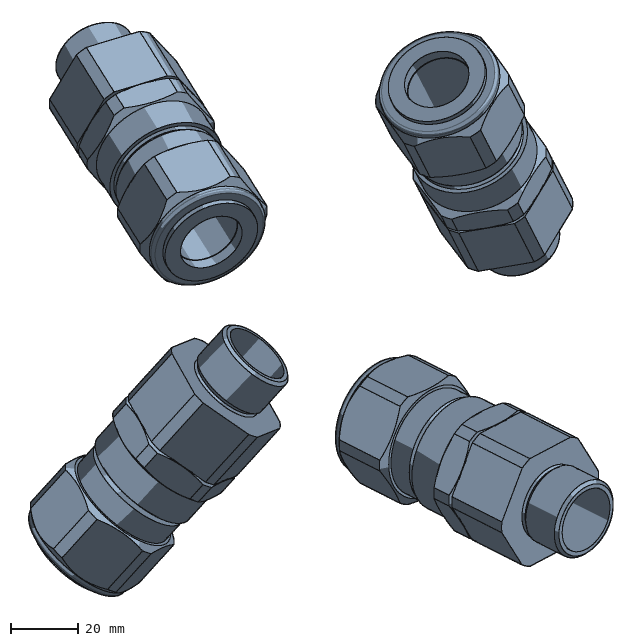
import cadquery as cq
import math


across_flats = 37.5
corner_radius = 41.3 / 2
flat_radius = across_flats / 2

total_length = 88.35
entry_hex_start = 14.9
middle_hex_start = 35.7
middle_hex_end = 44.5
body_end = 54.6
neck_groove_bottom_x = 55.4
nut_start = 64.3
nut_end = 84.6
collar_end = 86.8

thread_radius = 25.0 / 2
thread_chamfer = 1.0
relief_start = 12.9
relief_bottom_x = 14.2
relief_bottom_radius = 11.4
relief_end_radius = 12.0

body_radius = 36.5 / 2
groove_lip_radius = 17.0
groove_bottom_radius = 16.3
neck_radius = 17.2
neck_chamfer_length = 1.3

shallow_angle = 30.0
middle_front_chamfer = 1.15
nut_front_chamfer = 1.4
nut_rear_chamfer = 2.1
nut_rear_slope = 1.0

collar_radius = corner_radius - nut_rear_chamfer * nut_rear_slope
collar_round = 1.0
tail_radius = 15.0

bore_radius = 10.2
tail_bore_radius = 10.0

shallow_slope = 1 / math.tan(math.radians(shallow_angle))

middle_rear_chamfer = (corner_radius - body_radius) / shallow_slope


def turned(points):
    """Revolve a closed (x, radius) outline about the X axis."""
    return cq.Workplane("XY").polyline(points).close().revolve(360, (0, 0, 0), (1, 0, 0))


def cylinder(start, end, radius):
    return cq.Workplane("YZ", origin=(start, 0, 0)).circle(radius).extrude(end - start)


def hexagon(start, end, front_chamfer=0.0, rear_chamfer=0.0, rear_slope=shallow_slope):
    """Hexagonal section with turned corners and optional conical end chamfers."""
    across_corners = 2 * flat_radius / math.cos(math.pi / 6)
    prism = cq.Workplane("YZ", origin=(start, 0, 0)).polygon(6, across_corners).extrude(end - start)
    envelope = [(start, 0), (start, corner_radius - front_chamfer * shallow_slope)]
    if front_chamfer:
        envelope.append((start + front_chamfer, corner_radius))
    if rear_chamfer:
        envelope.append((end - rear_chamfer, corner_radius))
    envelope += [(end, corner_radius - rear_chamfer * rear_slope), (end, 0)]
    return prism.intersect(turned(envelope))


def entry_thread():
    return turned([
        (0, 0),
        (0, thread_radius - thread_chamfer),
        (thread_chamfer, thread_radius),
        (relief_start, thread_radius),
        (relief_bottom_x, relief_bottom_radius),
        (entry_hex_start, relief_end_radius),
        (entry_hex_start, 0),
    ])


def body_and_neck():
    return turned([
        (middle_hex_end, 0),
        (middle_hex_end, body_radius),
        (body_end, body_radius),
        (body_end, groove_lip_radius),
        (neck_groove_bottom_x, groove_bottom_radius),
        (neck_groove_bottom_x + neck_chamfer_length, neck_radius),
        (nut_start, neck_radius),
        (nut_start, 0),
    ])


def rear_collar():
    return cylinder(nut_end, collar_end, collar_radius).faces(">X").edges().fillet(collar_round)


solid = (
    entry_thread()
    .union(hexagon(entry_hex_start, middle_hex_start))
    .union(hexagon(middle_hex_start, middle_hex_end, middle_front_chamfer, middle_rear_chamfer))
    .union(body_and_neck())
    .union(hexagon(nut_start, nut_end, nut_front_chamfer, nut_rear_chamfer, nut_rear_slope))
    .union(rear_collar())
    .union(cylinder(collar_end, total_length, tail_radius))
)

result = (
    solid
    .cut(cylinder(0, nut_end, bore_radius))
    .cut(cylinder(nut_end, total_length, tail_bore_radius))
)